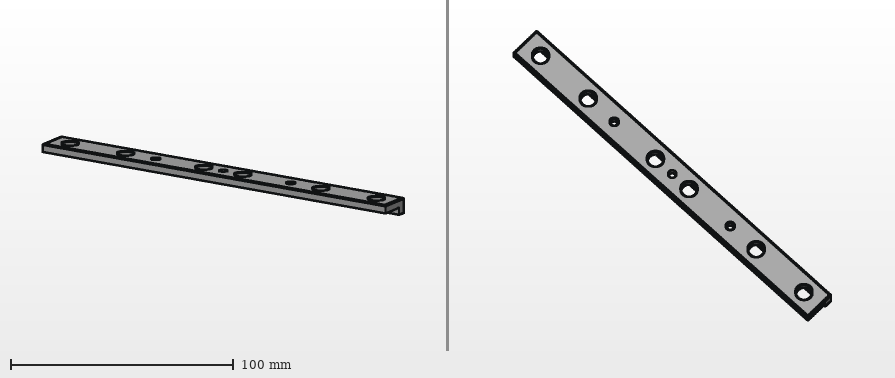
import cadquery as cq

length = 184.0
width = 15.0
height = 7.2

plate_thickness = 3.9
lip_width = 3.9
top_chamfer = 0.5

large_hole_diameter = 7.2
large_hole_mouth_diameter = 8.0
large_hole_offsets = [10.5, 52.5, 82.2]
center_hole_diameter = 3.7
small_hole_diameter = 3.3
small_hole_offset = 36.2
small_hole_mouth_diameter = 4.2


def mirrored(offsets):
    """Return hole centres on both sides of the bar's middle."""
    return [(side * offset, 0) for offset in offsets for side in (-1, 1)]


def make_bar():
    """Plate and lip, with the top outer edges chamfered."""
    plate = cq.Workplane("XY").box(length, width, plate_thickness, centered=(True, True, False))
    plate = plate.translate((0, 0, height - plate_thickness))
    lip = cq.Workplane("XY").box(length, lip_width, height, centered=(True, True, False))
    lip = lip.translate((0, (width - lip_width) / 2, 0))
    return plate.union(lip).clean().faces(">Z").edges().chamfer(top_chamfer)


def drill(bar, centers, diameter):
    """Drill straight holes through the plate at the given centres."""
    holes = cq.Workplane("XY").pushPoints(centers).circle(diameter / 2).extrude(height)
    return bar.cut(holes)


def chamfer_mouths(bar, centers, diameter, mouth_diameter):
    """Widen the top of each hole with a 45 degree cone."""
    depth = (mouth_diameter - diameter) / 2
    for x, y in centers:
        cone = cq.Solid.makeCone(
            mouth_diameter / 2, diameter / 2, depth, pnt=cq.Vector(x, y, height), dir=cq.Vector(0, 0, -1)
        )
        bar = bar.cut(cone)
    return bar


large_hole_centers = mirrored(large_hole_offsets)
small_hole_centers = mirrored([small_hole_offset])

result = make_bar()
result = drill(result, large_hole_centers, large_hole_diameter)
result = chamfer_mouths(result, large_hole_centers, large_hole_diameter, large_hole_mouth_diameter)
result = drill(result, [(0, 0)], center_hole_diameter)
result = drill(result, small_hole_centers, small_hole_diameter)
result = chamfer_mouths(result, small_hole_centers, small_hole_diameter, small_hole_mouth_diameter)